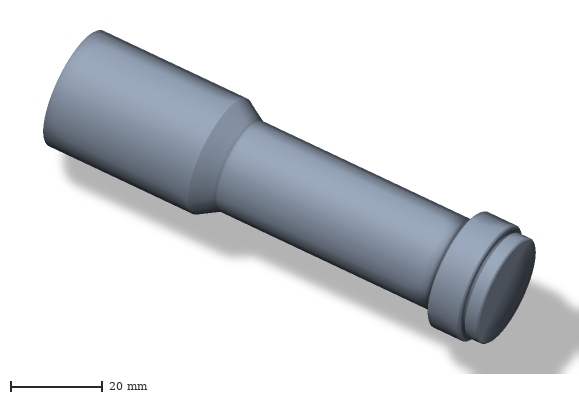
import cadquery as cq

total_length = 109.7
grip_length = 36.9
taper_length = 5.2
collar_width = 8.0
groove_width = 0.9
plug_width = 3.3

outer_diameter = 28.0
grip_radius = outer_diameter / 2
collar_radius = grip_radius
neck_radius = 11.0
groove_radius = 12.2
plug_radius = 12.7

edge_chamfer = 0.3
grip_chamfer = 0.2

grip_start = -total_length / 2
grip_end = grip_start + grip_length
taper_end = grip_end + taper_length
plug_end = total_length / 2
plug_start = plug_end - plug_width
collar_end = plug_start - groove_width
collar_start = collar_end - collar_width


def disc(start, end, radius):
    """Solid cylinder on the X axis between two stations."""
    return cq.Workplane("YZ", origin=(start, 0, 0)).circle(radius).extrude(end - start)


handle = (
    cq.Workplane("XY")
    .moveTo(grip_start, 0)
    .lineTo(grip_start, grip_radius)
    .lineTo(grip_end, grip_radius)
    .lineTo(taper_end, neck_radius)
    .lineTo(collar_start, neck_radius)
    .lineTo(collar_start, 0)
    .close()
    .revolve(360, (0, 0, 0), (1, 0, 0))
    .faces("<X")
    .edges()
    .chamfer(grip_chamfer)
)

collar = disc(collar_start, collar_end, collar_radius).edges().chamfer(edge_chamfer)

groove_core = disc(collar_end, plug_start, groove_radius)
plug = disc(plug_start, plug_end, plug_radius).faces(">X").edges().chamfer(edge_chamfer)

result = handle.union(collar).union(groove_core).union(plug)